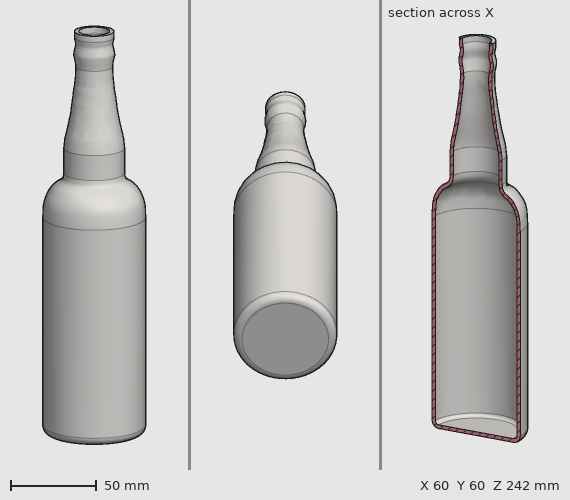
import cadquery as cq

height = 242.0
body_radius = 30.0
wall = 2.55
base_fillet = 4.8

body_top = 130.2
neck_bottom = 156.8
neck_taper_start = 171.8
neck_top = 220.7
bead_height = 228.7
groove_height = 234.7
lip_bottom = 238.4

neck_bottom_radius = 17.79
neck_top_radius = 10.77
bead_radius = 11.98
groove_radius = 11.0
lip_radius = 11.5

shoulder_points = [(29.4, 139.2), (27.8, 143.5), (22.5, 150.0)]
taper_points = [(16.1, 182.2), (13.92, 192.6), (12.0, 206.2)]

up = (0, 1)


def outer_profile():
    """Half section of the solid bottle, with radius along X and height along Y of the sketch."""
    profile = cq.Workplane("XZ").lineTo(body_radius, 0).lineTo(body_radius, body_top)

    profile = profile.spline(
        shoulder_points + [(neck_bottom_radius, neck_bottom)], tangents=[up, up], includeCurrent=True
    )
    profile = profile.lineTo(neck_bottom_radius, neck_taper_start)
    profile = profile.spline(
        taper_points + [(neck_top_radius, neck_top)], tangents=[up, up], includeCurrent=True
    )

    finish_points = [
        (bead_radius, bead_height),
        (groove_radius, groove_height),
        (lip_radius, lip_bottom),
    ]
    profile = profile.spline(finish_points, tangents=[up, up], includeCurrent=True)
    return profile.lineTo(lip_radius, height).lineTo(0, height).close()


def bottle():
    """Revolved bottle, rounded at the base and hollowed from the mouth to an even wall."""
    solid = outer_profile().revolve(360, (0, 0), (0, 1))
    solid = solid.faces("<Z").edges().fillet(base_fillet)
    return solid.faces(">Z").shell(-wall)


result = bottle()